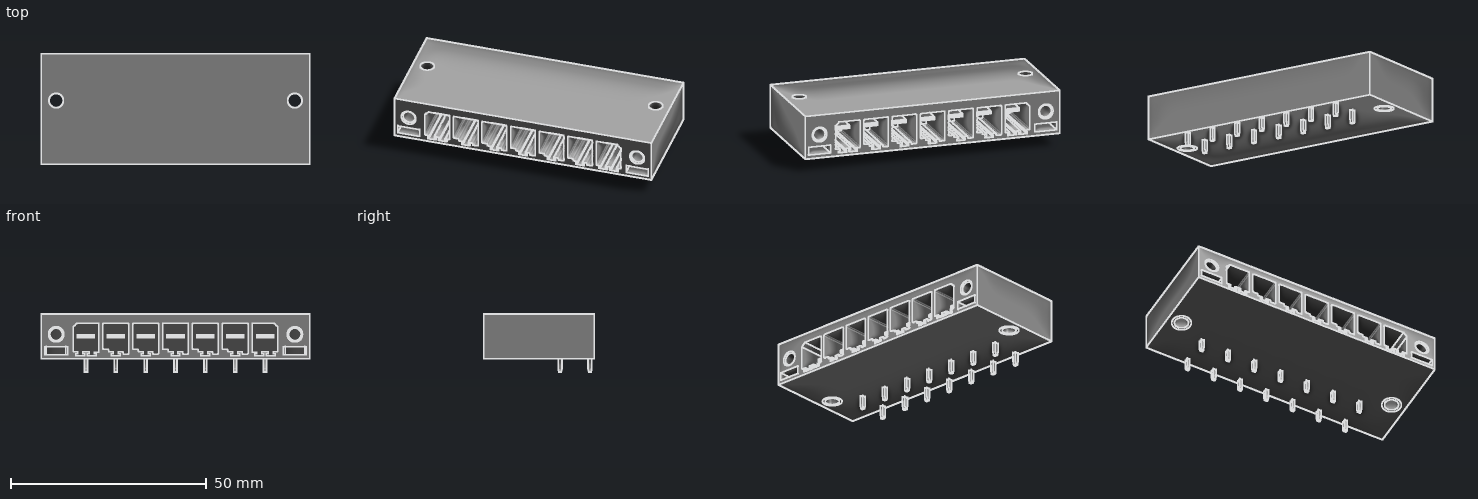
import cadquery as cq


pole_count = 7
pitch = 7.62
housing_width = (pole_count + 2) * pitch
housing_depth = 28.3
housing_height = 11.5
overall_height = 14.9

pocket_depth = 15.0
pocket_half_width = 3.3
pocket_top = 9.1
pocket_floor = 1.8
pocket_fillet = 0.3
step_fillet = 0.2
raised_floor = 2.4
lowered_floor = 1.2
floor_half_width = 1.86
end_pocket_bevel = 1.0
end_lowered_floor = 1.65

groove_neck_width = 1.24
groove_foot_width = 2.25
groove_foot_top = 1.3
groove_bottom = 0.83
end_groove_offset = 1.45

flange_x = (pole_count + 1) / 2 * pitch
bushing_y = 16.3
bushing_diameter = 5.0
bushing_height = 8.5
mounting_hole_diameter = 3.6
screw_hole_diameter = 3.2
screw_hole_z = 6.25
screw_hole_chamfer = 0.35
window_width = 5.9
window_bottom = 1.05
window_top = 3.15
window_depth = bushing_y + bushing_diameter / 2

blade_width = 4.35
blade_thickness = 0.82
blade_tip_bevel = 0.2
blade_tip_y = 5.0
blade_z = 5.8
pin_width = 0.8
pin_depth = 1.05
pin_tip_length = 1.0
pin_tip_depth = 0.6
pin_bottom = housing_height - overall_height
rear_pin_y = housing_depth - 1.15
front_pin_y = rear_pin_y - pitch


def box_between(x_range, y_range, z_range):
    """Box spanning the given (low, high) range along each axis."""
    size = [high - low for low, high in (x_range, y_range, z_range)]
    corner = (x_range[0], y_range[0], z_range[0])
    return cq.Workplane("XY").box(*size, centered=False).translate(corner)


def centred_range(centre, width):
    """(low, high) range of the given width about a centre."""
    return (centre - width / 2, centre + width / 2)


def vertical_cylinder(x, diameter, bottom, top):
    """Cylinder along Z on a bushing axis."""
    plane = cq.Workplane("XY").workplane(offset=bottom)
    return plane.center(x, bushing_y).circle(diameter / 2).extrude(top - bottom)


def pocket_prism(outline):
    """Prism running from the front face back to the pocket's end wall."""
    return cq.Workplane("XZ").polyline(outline).close().extrude(-pocket_depth)


def t_groove(x):
    """Groove with a narrow neck and a wider foot."""
    depth_range = (0, pocket_depth)
    neck = box_between(centred_range(x, groove_neck_width), depth_range, (groove_bottom, pocket_floor))
    foot = box_between(centred_range(x, groove_foot_width), depth_range, (groove_bottom, groove_foot_top))
    return neck.union(foot)


def inner_pocket():
    """Pocket with a raised step on the left, a lowered one on the right and one groove."""
    pocket = pocket_prism([
        (-pocket_half_width, pocket_top),
        (-pocket_half_width, raised_floor),
        (-floor_half_width, raised_floor),
        (-floor_half_width, pocket_floor),
        (floor_half_width, pocket_floor),
        (floor_half_width, lowered_floor),
        (pocket_half_width, lowered_floor),
        (pocket_half_width, pocket_top),
    ])
    pocket = pocket.edges("|Y").edges("<X or >X").fillet(pocket_fillet)
    step_corners = cq.selectors.BoxSelector(
        (-floor_half_width - step_fillet, 0, lowered_floor - step_fillet),
        (floor_half_width + step_fillet, pocket_depth, raised_floor + step_fillet),
    )
    pocket = pocket.edges("|Y").edges(step_corners).fillet(step_fillet)
    return pocket.union(t_groove(0))


def left_end_pocket():
    """Pocket with a bevelled outer top corner, a slightly stepped floor and two grooves."""
    pocket = pocket_prism([
        (-pocket_half_width, pocket_top - end_pocket_bevel),
        (-pocket_half_width, pocket_floor),
        (end_groove_offset, pocket_floor),
        (end_groove_offset, end_lowered_floor),
        (pocket_half_width, end_lowered_floor),
        (pocket_half_width, pocket_top),
        (-pocket_half_width + end_pocket_bevel, pocket_top),
    ])
    pocket = pocket.edges("|Y").edges(">X").fillet(pocket_fillet)
    pocket = pocket.edges("|Y").edges("<X").edges("<Z").fillet(pocket_fillet)
    for x in (-end_groove_offset, end_groove_offset):
        pocket = pocket.union(t_groove(x))
    return pocket


def screw_hole(x):
    """Chamfered hole from the front face to the bushing."""
    radius = screw_hole_diameter / 2
    half_section = [
        (0, 0),
        (radius + screw_hole_chamfer, 0),
        (radius, screw_hole_chamfer),
        (radius, bushing_y),
        (0, bushing_y),
    ]
    hole = cq.Workplane("XY").polyline(half_section).close().revolve(360, (0, 0), (0, 1))
    return hole.translate((x, 0, screw_hole_z))


def flange_cutout(x):
    """All the openings in one flange."""
    window = box_between(centred_range(x, window_width), (0, window_depth), (window_bottom, window_top))
    cutout = vertical_cylinder(x, mounting_hole_diameter, 0, housing_height)
    cutout = cutout.union(vertical_cylinder(x, bushing_diameter, 0, bushing_height))
    return cutout.union(window).union(screw_hole(x))


def make_bushing(x):
    """Tube standing in a flange, in line with the mounting hole."""
    tube = vertical_cylinder(x, bushing_diameter, 0, bushing_height)
    return tube.cut(vertical_cylinder(x, mounting_hole_diameter, 0, bushing_height))


def solder_pin(x, y):
    """Pin from the blade down through the board, tapered in Y at its tip."""
    tip_top = pin_bottom + pin_tip_length
    outline = [
        (y - pin_depth / 2, blade_z),
        (y - pin_depth / 2, tip_top),
        (y - pin_tip_depth / 2, pin_bottom),
        (y + pin_tip_depth / 2, pin_bottom),
        (y + pin_depth / 2, tip_top),
        (y + pin_depth / 2, blade_z),
    ]
    plane = cq.Workplane("YZ").workplane(offset=x)
    return plane.polyline(outline).close().extrude(pin_width / 2, both=True)


def make_contact(x):
    """Blade lying along Y, with its two pins."""
    blade = box_between(
        centred_range(x, blade_width),
        (blade_tip_y, rear_pin_y + pin_depth / 2),
        centred_range(blade_z, blade_thickness),
    )
    blade = blade.faces("<Y").edges("|X").chamfer(blade_tip_bevel)
    for y in (front_pin_y, rear_pin_y):
        blade = blade.union(solder_pin(x, y))
    return blade


def make_housing():
    """Block with its pockets and flange openings, before the contacts are seated."""
    block = box_between(centred_range(0, housing_width), (0, housing_depth), (0, housing_height))
    for x in pole_positions[1:-1]:
        block = block.cut(inner_pocket().translate((x, 0, 0)))
    end_pocket = left_end_pocket().translate((pole_positions[0], 0, 0))
    block = block.cut(end_pocket).cut(end_pocket.mirror("YZ"))
    for x in flange_positions:
        block = block.cut(flange_cutout(x))
    return block


pole_positions = [(i - (pole_count - 1) / 2) * pitch for i in range(pole_count)]
flange_positions = (-flange_x, flange_x)

contacts = [make_contact(x) for x in pole_positions]
bushings = [make_bushing(x) for x in flange_positions]

housing = make_housing()
for contact in contacts:
    housing = housing.cut(contact)

result = cq.Compound.makeCompound([
    housing.val(),
    *[contact.val() for contact in contacts],
    *[bushing.val() for bushing in bushings],
])